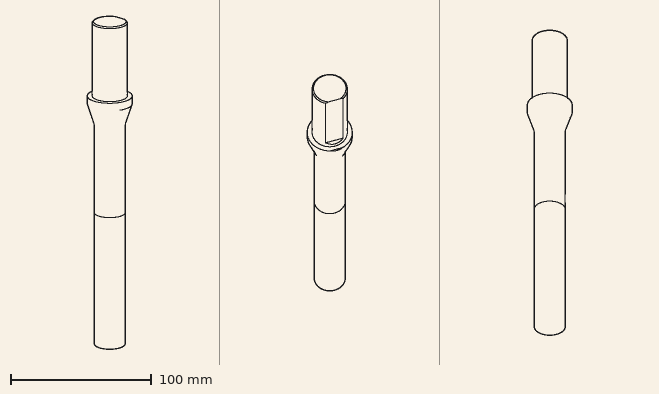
import cadquery as cq

TOTAL_LENGTH = 243.0
JOINT_Z = 99.5
COLLAR_TOP_Z = 187.0
COLLAR_HEIGHT = 5.8
COLLAR_BOTTOM_Z = COLLAR_TOP_Z - COLLAR_HEIGHT

SHANK_RADIUS = 25.0 / 2
COLLAR_RADIUS = 32.0 / 2
BAND_RADIUS = 22.4 / 2
JOINT_RADIUS = 22.0 / 2
FLANK_BEND_RADIUS = 11.7
FLANK_BEND_Z = 168.2
SHANK_CHAMFER = 1.0
BAND_TOP_Z = 165.2
BAND_BOTTOM_Z = 160.1

FLAT_Y = 10.7
RUNOUT_TOP_Z = COLLAR_TOP_Z + 4.5

FOOT_TOP_Z = 13.1
FOOT_TAPER_TOP_Z = 16.0
FOOT_FILLET = 1.2


def make_shank_flat_cutter():
    """Material removed beside the flat, with a sloping lower end."""
    outer_y = COLLAR_RADIUS
    runout_end_z = RUNOUT_TOP_Z - (outer_y - FLAT_Y)
    outline = [
        (FLAT_Y, RUNOUT_TOP_Z),
        (outer_y, runout_end_z),
        (outer_y, TOTAL_LENGTH),
        (FLAT_Y, TOTAL_LENGTH),
    ]
    return cq.Workplane("YZ").polyline(outline).close().extrude(COLLAR_RADIUS, both=True)


def make_upper_body():
    """Flatted shank above a tapered collar, a short plain band and a slightly tapered neck."""
    flank_slope = (FLANK_BEND_RADIUS - COLLAR_RADIUS, FLANK_BEND_Z - COLLAR_BOTTOM_Z)
    flank_end_slope = (0, -1)
    turned = (
        cq.Workplane("XZ")
        .moveTo(0, TOTAL_LENGTH)
        .lineTo(SHANK_RADIUS - SHANK_CHAMFER, TOTAL_LENGTH)
        .lineTo(SHANK_RADIUS, TOTAL_LENGTH - SHANK_CHAMFER)
        .lineTo(SHANK_RADIUS, COLLAR_TOP_Z)
        .lineTo(COLLAR_RADIUS, COLLAR_TOP_Z)
        .lineTo(COLLAR_RADIUS, COLLAR_BOTTOM_Z)
        .spline(
            [(FLANK_BEND_RADIUS, FLANK_BEND_Z), (BAND_RADIUS, BAND_TOP_Z)],
            tangents=[flank_slope, flank_end_slope],
            includeCurrent=True,
        )
        .lineTo(BAND_RADIUS, BAND_BOTTOM_Z)
        .lineTo(JOINT_RADIUS, JOINT_Z)
        .lineTo(0, JOINT_Z)
        .close()
        .revolve(360, (0, 0), (0, 1))
    )
    return turned.cut(make_shank_flat_cutter())


def make_lower_body():
    """Barrel standing on a slightly wider foot with a rounded lower edge."""
    barrel = (
        cq.Workplane("XZ")
        .polyline([
            (0, 0),
            (BAND_RADIUS, 0),
            (BAND_RADIUS, FOOT_TOP_Z),
            (JOINT_RADIUS, FOOT_TAPER_TOP_Z),
            (JOINT_RADIUS, JOINT_Z),
            (0, JOINT_Z),
        ])
        .close()
        .revolve(360, (0, 0), (0, 1))
    )
    return barrel.faces("<Z").edges().fillet(FOOT_FILLET)


upper_body = make_upper_body()
lower_body = make_lower_body()

result = cq.Compound.makeCompound([upper_body.val(), lower_body.val()])